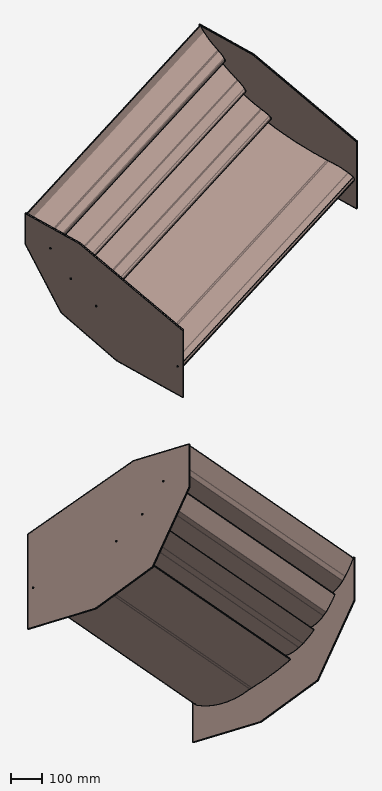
import cadquery as cq

LENGTH = 620.0
SPAN = 960.0
HEIGHT = 490.0
PLATE_THICKNESS = 5.0
HOLE_DIAMETER = 5.0
FOIL_SPAN = SPAN - 2 * PLATE_THICKNESS

TOP_EDGE_END = -97.0
FRONT_EDGE_TOP = 95.0
BOTTOM_EDGE_START = 50.0
LOWER_CORNER = (-169.0, -157.0)
REAR_EDGE_BOTTOM = 90.0

FLAP_TOP = {
    "tail_top": (-304.0, 245.0),
    "upper_middle": (-276.0, 205.0),
    "upper_joint": (-235.0, 171.0),
    "upper_flat_end": (-232.0, 168.0),
    "crown": (-219.0, 157.0),
    "crown_front": (-208.0, 144.0),
    "nose_top": (-206.0, 141.0),
    "nose_tip": (-205.0, 137.0),
    "nose_bottom": (-211.0, 132.0),
    "belly": (-242.0, 149.0),
    "lower_front": (-266.0, 172.0),
    "lower_rear": (-276.0, 185.0),
    "lower_middle": (-294.0, 215.0),
    "tail_bottom": (-307.0, 243.0),
    "hole": (-211.0, 138.0),
}
FLAP_MIDDLE = {
    "tail_top": (-234.0, 134.0),
    "upper_middle": (-198.0, 101.0),
    "upper_joint": (-158.0, 75.0),
    "upper_flat_end": (-156.0, 73.0),
    "crown": (-142.0, 62.0),
    "crown_front": (-131.0, 51.0),
    "nose_top": (-126.0, 45.0),
    "nose_tip": (-124.0, 41.0),
    "nose_bottom": (-131.0, 37.0),
    "belly": (-165.0, 47.0),
    "lower_front": (-192.0, 67.0),
    "lower_rear": (-203.0, 78.0),
    "lower_middle": (-221.0, 104.0),
    "tail_bottom": (-236.0, 131.0),
    "hole": (-131.0, 42.0),
}
FLAP_LOWER = {
    "tail_top": (-155.0, 30.0),
    "upper_middle": (-112.0, 9.0),
    "upper_joint": (-66.0, -7.0),
    "upper_flat_end": (-63.0, -8.0),
    "crown": (-48.0, -12.0),
    "crown_front": (-33.0, -18.0),
    "nose_top": (-27.0, -22.0),
    "nose_tip": (-25.0, -26.0),
    "nose_bottom": (-31.0, -34.0),
    "belly": (-66.0, -33.0),
    "lower_front": (-98.0, -20.0),
    "lower_rear": (-114.0, -11.0),
    "lower_middle": (-136.0, 8.0),
    "tail_bottom": (-156.0, 27.0),
    "hole": (-31.0, -26.0),
}
MAIN_WING = {
    "tail_top": (-63.0, -49.0),
    "upper_middle": (59.0, -75.0),
    "upper_joint": (194.0, -81.0),
    "upper_flat_end": (200.0, -81.0),
    "crown": (232.0, -79.0),
    "crown_front": (277.0, -84.0),
    "nose_top": (298.0, -92.0),
    "nose_tip": (301.0, -103.0),
    "nose_bottom": (296.0, -116.0),
    "belly": (193.0, -138.0),
    "lower_front": (90.0, -116.0),
    "lower_rear": (83.0, -114.0),
    "lower_middle": (7.0, -88.0),
    "tail_bottom": (-65.0, -55.0),
    "hole": (289.0, -103.0),
}
ELEMENTS = [FLAP_TOP, FLAP_MIDDLE, FLAP_LOWER, MAIN_WING]


def wing_element(section):
    """Extrude one wing section between the two end plates."""
    profile = (
        cq.Workplane("XZ", origin=(0, FOIL_SPAN / 2, 0))
        .moveTo(*section["tail_top"])
        .threePointArc(section["upper_middle"], section["upper_joint"])
        .lineTo(*section["upper_flat_end"])
        .threePointArc(section["crown"], section["crown_front"])
        .lineTo(*section["nose_top"])
        .threePointArc(section["nose_tip"], section["nose_bottom"])
        .threePointArc(section["belly"], section["lower_front"])
        .lineTo(*section["lower_rear"])
        .threePointArc(section["lower_middle"], section["tail_bottom"])
        .close()
    )
    return profile.extrude(FOIL_SPAN)


def end_plate(back_y):
    """Flat end plate whose +Y face lies at back_y, drilled beside each nose."""
    outline = [
        (-LENGTH / 2, HEIGHT / 2),
        (TOP_EDGE_END, HEIGHT / 2),
        (LENGTH / 2, FRONT_EDGE_TOP),
        (LENGTH / 2, -HEIGHT / 2),
        (BOTTOM_EDGE_START, -HEIGHT / 2),
        LOWER_CORNER,
        (-LENGTH / 2, REAR_EDGE_BOTTOM),
    ]
    plane = cq.Workplane("XZ", origin=(0, back_y, 0))
    plate = plane.polyline(outline).close().extrude(PLATE_THICKNESS)
    holes = (
        plane.pushPoints([section["hole"] for section in ELEMENTS])
        .circle(HOLE_DIAMETER / 2)
        .extrude(PLATE_THICKNESS)
    )
    return plate.cut(holes)


wings = [wing_element(section) for section in ELEMENTS]
plates = [end_plate(back_y) for back_y in (SPAN / 2, -SPAN / 2 + PLATE_THICKNESS)]

result = cq.Compound.makeCompound([body.val() for body in plates + wings])